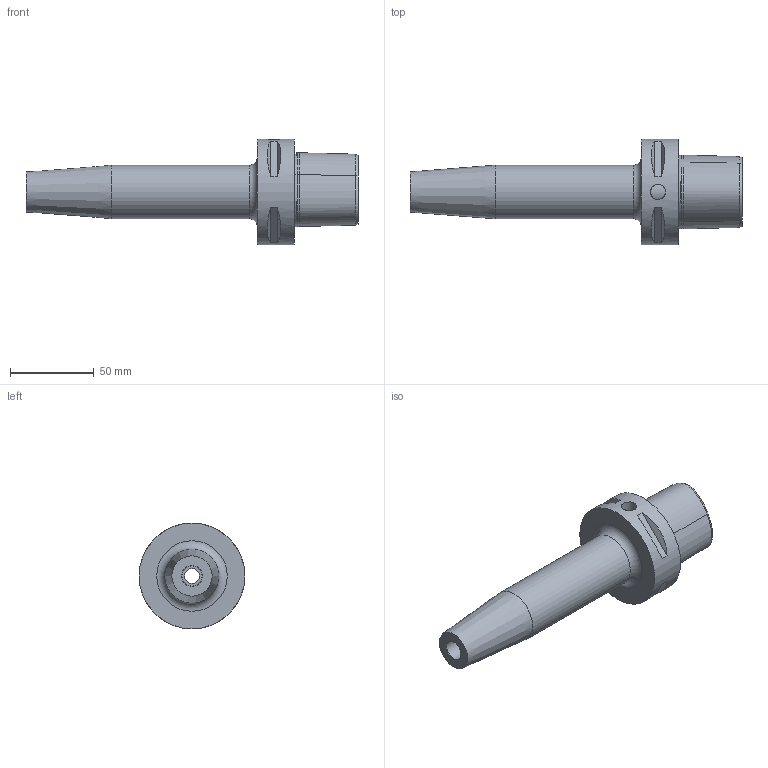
import cadquery as cq
import math


nose_x = -160.0
nose_diameter = 24.0
shaft_diameter = 32.0
cone_half_angle = 4.5
flange_diameter = 63.0
flange_width = 22.0
root_fillet = 5.0

bore_diameter = 12.0
bore_mouth_diameter = 12.5
bore_depth = 47.0
through_diameter = 8.92

lobe_count = 3
mean_radius = 22.0
lobe_height = 1.4
taper_end_x = 38.0
radial_slope = 1 / 40
neck_end_x = 1.7
land_end_x = 3.0
end_chamfer_length = 1.3
end_chamfer_height = 0.6
spline_steps = 16

relief_radius = 22.65
relief_cylinder_length = 1.1
relief_outer_radius = 23.6

gripper_x = -12.1
groove_count = 4
groove_floor_distance = 27.8
groove_floor_width = 4.0
groove_half_angle = 30.0
code_hole_diameter = 9.0
code_hole_core_diameter = 18.38


def make_body():
    """Nose cone, shaft, root fillet and flange as one revolved profile."""
    nose_radius = nose_diameter / 2
    shaft_radius = shaft_diameter / 2
    cone_length = (shaft_radius - nose_radius) / math.tan(math.radians(cone_half_angle))
    flange_x = -flange_width
    fillet_offset = root_fillet * (1 - math.sqrt(0.5))
    return (
        cq.Workplane("XY")
        .moveTo(nose_x, 0)
        .lineTo(nose_x, nose_radius)
        .lineTo(nose_x + cone_length, shaft_radius)
        .lineTo(flange_x - root_fillet, shaft_radius)
        .threePointArc(
            (flange_x - fillet_offset, shaft_radius + fillet_offset),
            (flange_x, shaft_radius + root_fillet),
        )
        .lineTo(flange_x, flange_diameter / 2)
        .lineTo(0, flange_diameter / 2)
        .lineTo(0, 0)
        .close()
        .revolve(360, (0, 0, 0), (1, 0, 0))
    )


def polygon_point(x, radius, angle):
    """Point of the constant-width trilobe whose normal has the given angle."""
    phase = lobe_count * (angle - math.pi / 2)
    support = radius + lobe_height * math.cos(phase)
    slope = -lobe_count * lobe_height * math.sin(phase)
    return cq.Vector(
        x,
        support * math.cos(angle) - slope * math.sin(angle),
        support * math.sin(angle) + slope * math.cos(angle),
    )


def polygon_wire(x, radius):
    """Trilobe outline at x, one spline per lobe, joined at the middle of the flats."""
    lobe_angle = 2 * math.pi / lobe_count
    edges = []
    for lobe in range(lobe_count):
        start = math.pi / 2 + (lobe - 0.5) * lobe_angle
        angles = [start + lobe_angle * step / spline_steps for step in range(spline_steps + 1)]
        points = [polygon_point(x, radius, angle) for angle in angles]
        tangents = [cq.Vector(0, -math.sin(a), math.cos(a)) for a in (angles[0], angles[-1])]
        edges.append(cq.Edge.makeSpline(points, tangents=tangents))
    return cq.Wire.assembleEdges(edges)


def polygon_section(start_x, start_radius, end_x, end_radius):
    """Solid between two trilobe outlines."""
    wires = [polygon_wire(start_x, start_radius), polygon_wire(end_x, end_radius)]
    return cq.Workplane(cq.Solid.makeLoft(wires, True))


def make_neck():
    """Polygon neck with its lobes trimmed by a cylinder that opens into a cone."""
    relief = (
        cq.Workplane("XY")
        .lineTo(0, relief_radius)
        .lineTo(relief_cylinder_length, relief_radius)
        .lineTo(neck_end_x, relief_outer_radius)
        .lineTo(neck_end_x, 0)
        .close()
        .revolve(360, (0, 0, 0), (1, 0, 0))
    )
    return polygon_section(0, mean_radius, neck_end_x, mean_radius).intersect(relief)


def make_taper():
    """Neck, straight land, taper and end chamfer of the polygon shank."""
    chamfer_x = taper_end_x - end_chamfer_length
    small_radius = mean_radius - radial_slope * (chamfer_x - land_end_x)
    end_radius = small_radius - end_chamfer_height
    land = polygon_section(neck_end_x, mean_radius, land_end_x, mean_radius)
    taper = polygon_section(land_end_x, mean_radius, chamfer_x, small_radius)
    chamfer = polygon_section(chamfer_x, small_radius, taper_end_x, end_radius)
    return make_neck().union(land).union(taper).union(chamfer)


def make_bore():
    """Chamfered tool bore followed by the smaller hole through the whole holder."""
    mouth_radius = bore_mouth_diameter / 2
    bore_radius = bore_diameter / 2
    through_radius = through_diameter / 2
    bore_end_x = nose_x + bore_depth
    return (
        cq.Workplane("XY")
        .moveTo(nose_x, 0)
        .lineTo(nose_x, mouth_radius)
        .lineTo(nose_x + mouth_radius - bore_radius, bore_radius)
        .lineTo(bore_end_x, bore_radius)
        .lineTo(bore_end_x, through_radius)
        .lineTo(taper_end_x, through_radius)
        .lineTo(taper_end_x, 0)
        .close()
        .revolve(360, (0, 0, 0), (1, 0, 0))
    )


def make_gripper_grooves():
    """Flat-bottomed V grooves cut along chords of the flange, midway between Y and Z."""
    rim_radius = flange_diameter / 2
    floor_half = groove_floor_width / 2
    rise = rim_radius - groove_floor_distance
    rim_half = floor_half + rise * math.tan(math.radians(groove_half_angle))
    groove = (
        cq.Workplane("XZ")
        .moveTo(gripper_x - floor_half, groove_floor_distance)
        .lineTo(gripper_x + floor_half, groove_floor_distance)
        .lineTo(gripper_x + rim_half, rim_radius)
        .lineTo(gripper_x - rim_half, rim_radius)
        .close()
        .extrude(rim_radius, both=True)
    )
    spacing = 360 / groove_count
    grooves = cq.Workplane()
    for index in range(groove_count):
        angle = (index + 0.5) * spacing
        grooves = grooves.add(groove.rotate((0, 0, 0), (1, 0, 0), angle))
    return grooves.combine()


def make_code_hole():
    """Radial hole in the top of the flange, ending on a round core about the holder axis."""
    core = (
        cq.Workplane("YZ")
        .workplane(offset=gripper_x - code_hole_diameter)
        .circle(code_hole_core_diameter / 2)
        .extrude(2 * code_hole_diameter)
    )
    hole = (
        cq.Workplane("XY")
        .center(gripper_x, 0)
        .circle(code_hole_diameter / 2)
        .extrude(flange_diameter / 2)
    )
    return hole.cut(core)


result = (
    make_body()
    .union(make_taper())
    .cut(make_bore())
    .cut(make_gripper_grooves())
    .cut(make_code_hole())
)